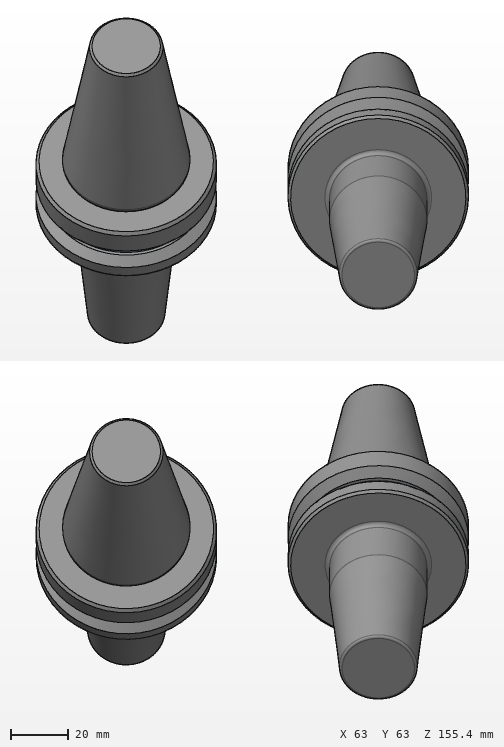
import cadquery as cq
import math

total_length = 155.4
nose_length = 44.8
flange_bottom = 63.0
flange_top = 88.1
relief_top = 89.0
gauge_height = 90.0

flange_radius = 63.0 / 2
shank_radius = 34.0 / 2
gauge_radius = 22.2
groove_radius = 26.5

taper_slope = 7 / 48
nose_slope = math.tan(math.radians(4.5))

groove_floor_bottom = 70.9
groove_floor_top = 76.1
flare_height = 2.2
flare_radius = flange_radius - flare_height * math.tan(math.radians(60))

nose_round = 1.0
shank_round = 1.5
flange_bottom_chamfer = 1.0
flange_top_chamfer = 1.1
taper_end_chamfer = 0.8
relief_depth = 0.5

nose_radius = shank_radius - nose_length * nose_slope
taper_end_radius = gauge_radius - (total_length - gauge_height) * taper_slope


def revolve_profile(points):
    """Close (radius, height) points on the Z axis and turn them into a solid."""
    closed = [(0, points[0][1])] + points + [(0, points[-1][1])]
    return cq.Workplane("XZ").polyline(closed).close().revolve(360, (0, 0), (0, 1))


shank = revolve_profile([
    (nose_radius, 0),
    (shank_radius, nose_length),
    (shank_radius, flange_bottom),
])
shank = shank.faces("<Z").edges().fillet(nose_round)

flange = revolve_profile([
    (flange_radius, flange_bottom),
    (flange_radius, groove_floor_bottom - flare_height),
    (flare_radius, groove_floor_bottom),
    (groove_radius, groove_floor_bottom),
    (groove_radius, groove_floor_top),
    (flare_radius, groove_floor_top),
    (flange_radius, groove_floor_top + flare_height),
    (flange_radius, flange_top),
])
flange = flange.faces("<Z").edges().chamfer(flange_bottom_chamfer)
flange = flange.faces(">Z").edges().chamfer(flange_top_chamfer)

taper = revolve_profile([
    (gauge_radius - relief_depth, flange_top),
    (gauge_radius, relief_top),
    (gauge_radius, gauge_height),
    (taper_end_radius, total_length),
])
taper = taper.faces(">Z").edges().chamfer(taper_end_chamfer)

result = shank.union(flange).union(taper)

corner_margin = 0.2
corner_reach = shank_radius + corner_margin
shank_corner = cq.selectors.BoxSelector(
    (-corner_reach, -corner_reach, flange_bottom - corner_margin),
    (corner_reach, corner_reach, flange_bottom + corner_margin),
    boundingbox=True,
)
result = result.edges(shank_corner).fillet(shank_round)